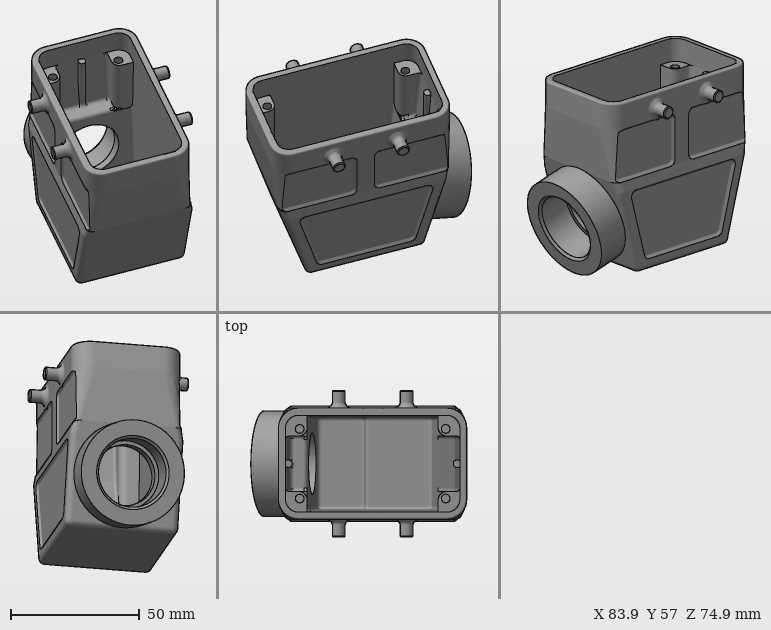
import cadquery as cq
import math

total_length = 83.85

total_height = 72.0
rim_length = 73.0
rim_width = 43.1
rim_corner_radius = 7.55
rim_edge_radius = 0.7
band_bottom = 61.2
waist_height = 39.6
waist_length = 69.3
waist_corner_radius = 2.5
side_angle = 15.0
side_tilt = math.radians(side_angle)
side_slope = math.tan(side_tilt)

base_width = 44.95
base_shoulder_height = 35.5
base_edge_radius = 2.5
base_length = waist_length - 2 * waist_height * side_slope

panel_depth = 0.9
panel_draft = 50.0
panel_corner_radius = 2.5
panel_floor_radius = 0.7
rib_width = 7.2
low_panel_top = 34.9
low_panel_bottom = 4.7
low_panel_top_length = 56.0
low_panel_bottom_length = low_panel_top_length - 2 * (low_panel_top - low_panel_bottom) * side_slope

pin_spacing = 26.3
pin_height = 65.6
pin_radius = 2.5
pin_tip_y = 28.5
pin_root_radius = 4.8
pin_ring_radius = 3.4
pin_ring_height = 0.75
pin_flare_height = 2.1
pin_flare_radius = 1.85
pin_tip_chamfer = 0.4
pin_embed = 0.8

collar_radius = 20.55
collar_drop = 2.85
collar_face_x = rim_length / 2 - total_length + collar_radius * math.sin(side_tilt)
collar_face_z = collar_radius * math.cos(side_tilt) - collar_drop
collar_length = 15.9
bore_radius = 13.4
bore_chamfer = 1.0
bore_depth = 13.9
throat_radius = 11.9
throat_depth = 25.15

cavity_length = 67.7
cavity_width = 37.6
cavity_floor_width = 35.55
cavity_corner_radius = 5.0
cavity_waist_length = 63.9
floor_thickness = 2.5
floor_step_x = -3.35
floor_step_height = 3.35
floor_radius = 1.5
foot_radius = 1.25
cavity_ledge_length = 63.6
high_floor_drop = waist_height - floor_thickness - floor_step_height
high_floor_end_x = cavity_waist_length / 2 - high_floor_drop * side_slope

post_top = 62.5
post_inner_x = 25.4
post_inner_y = 10.7
post_radius = 3.35
bay_radius = 1.3
screw_x = 28.3
screw_y = 13.5
screw_hole_radius = 1.7
screw_hole_depth = 12.6
pad_top = 38.6
pad_foot_x = 21.1
nub_radius = 1.5
nub_x = 32.8
nub_flare_radius = 1.5

pick_margin = 0.5


def rounded_prism(length, width, radius, bottom, top):
    """Vertical prism centred on the Z axis with rounded corners."""
    prism = cq.Workplane("XY").workplane(offset=bottom).rect(length, width).extrude(top - bottom)
    return prism.edges("|Z").fillet(radius)


def profile_prism(points, width):
    """Prism along Y, centred on Y = 0, from an XZ outline."""
    return cq.Workplane("XZ").polyline(points).close().extrude(width / 2, both=True)


def on_both_faces(front):
    return front.union(front.mirror("XZ"))


def rounded_sketch(length, width, radius):
    return cq.Sketch().rect(length, width).vertices().fillet(radius)


def make_upper_body():
    """Straight rim band above a taper whose corners sharpen toward the waist."""
    band = rounded_prism(rim_length, rim_width, rim_corner_radius, band_bottom, total_height)
    band = band.faces(">Z").edges().fillet(rim_edge_radius)
    taper = (
        cq.Workplane("XY")
        .placeSketch(
            rounded_sketch(waist_length, rim_width, waist_corner_radius).moved(
                cq.Location(cq.Vector(0, 0, waist_height))
            ),
            rounded_sketch(rim_length, rim_width, rim_corner_radius).moved(
                cq.Location(cq.Vector(0, 0, band_bottom))
            ),
        )
        .loft()
    )
    return band.union(taper)


def make_lower_body():
    """Tapered lower body, rounded along its bottom and its corner edges."""
    side = [
        (-base_length / 2, 0),
        (base_length / 2, 0),
        (waist_length / 2, waist_height),
        (-waist_length / 2, waist_height),
    ]
    end = [
        (-base_width / 2, 0),
        (base_width / 2, 0),
        (base_width / 2, base_shoulder_height),
        (rim_width / 2, waist_height),
        (-rim_width / 2, waist_height),
        (-base_width / 2, base_shoulder_height),
    ]
    end_prism = cq.Workplane("YZ").polyline(end).close().extrude(rim_length / 2, both=True)
    body = profile_prism(side, base_width).intersect(end_prism)
    return body.edges("not >Z").edges("<Z or (not |X)").fillet(base_edge_radius)


def make_panel(sketch, origin):
    """Drafted recess cut into the -Y face, rounded where its walls meet its floor."""
    panel = cq.Workplane("XZ", origin=origin).placeSketch(sketch).extrude(-panel_depth, taper=panel_draft)
    return panel.faces(">Y").edges().fillet(panel_floor_radius)


def make_upper_panels():
    """Two panels per face, running out through the rounded corners beside the central rib."""
    height = band_bottom - waist_height
    length = rim_length / 2
    center_x = (rib_width + length) / 2
    center_z = (band_bottom + waist_height) / 2
    sketch = rounded_sketch(length, height, panel_corner_radius)
    panels = cq.Workplane("XY")
    for x in (-center_x, center_x):
        panels = panels.union(make_panel(sketch, (x, -rim_width / 2, center_z)))
    return on_both_faces(panels)


def make_lower_panels():
    outline = [
        (-low_panel_bottom_length / 2, low_panel_bottom),
        (low_panel_bottom_length / 2, low_panel_bottom),
        (low_panel_top_length / 2, low_panel_top),
        (-low_panel_top_length / 2, low_panel_top),
    ]
    sketch = cq.Sketch().polygon(outline + outline[:1]).vertices().fillet(panel_corner_radius)
    return on_both_faces(make_panel(sketch, (0, -base_width / 2, 0)))


def make_pins():
    """Pins with a concave flare at the root, starting inside the wall."""
    root_y = rim_width / 2
    pin = (
        cq.Workplane("XY")
        .moveTo(0, root_y - pin_embed)
        .lineTo(pin_root_radius, root_y - pin_embed)
        .lineTo(pin_root_radius, root_y)
        .radiusArc((pin_ring_radius, root_y + pin_ring_height), pin_flare_radius)
        .radiusArc((pin_radius, root_y + pin_flare_height), pin_flare_radius)
        .lineTo(pin_radius, pin_tip_y - pin_tip_chamfer)
        .lineTo(pin_radius - pin_tip_chamfer, pin_tip_y)
        .lineTo(0, pin_tip_y)
        .close()
        .revolve(360, (0, 0, 0), (0, 1, 0))
    )
    pins = cq.Workplane("XY")
    for x in (-pin_spacing / 2, pin_spacing / 2):
        pins = pins.union(pin.translate((x, 0, pin_height)))
    return on_both_faces(pins)


def collar_plane():
    """Plane on the collar's outer face, its normal pointing into the hood."""
    return cq.Plane(
        origin=(collar_face_x, 0, collar_face_z),
        xDir=(0, 1, 0),
        normal=(math.cos(side_tilt), 0, math.sin(side_tilt)),
    )


def make_collar():
    return cq.Workplane(collar_plane()).circle(collar_radius).extrude(collar_length)


def make_bore():
    """Chamfered bore through the collar with a narrower throat through the pad."""
    outline = [
        (0, 0),
        (bore_radius + bore_chamfer, 0),
        (bore_radius, bore_chamfer),
        (bore_radius, bore_depth),
        (throat_radius, bore_depth),
        (throat_radius, throat_depth),
        (0, throat_depth),
    ]
    plane = collar_plane()
    section = cq.Plane(origin=plane.origin, xDir=plane.xDir, normal=plane.xDir.cross(plane.zDir))
    return cq.Workplane(section).polyline(outline).close().revolve(360, (0, 0, 0), (0, 1, 0))


def make_open_space():
    """Space inside the shell before the posts are added: stepped floor, pad on the collar side."""
    high_floor = floor_thickness + floor_step_height
    side = [
        (-pad_foot_x, floor_thickness),
        (floor_step_x, floor_thickness),
        (floor_step_x + floor_step_height * side_slope, high_floor),
        (high_floor_end_x, high_floor),
        (cavity_waist_length / 2, waist_height),
        (cavity_length / 2, post_top),
        (cavity_length / 2, total_height),
        (-cavity_length / 2, total_height),
        (-cavity_length / 2, post_top),
        (-cavity_ledge_length / 2, pad_top),
        (-post_inner_x, pad_top),
    ]
    end = [
        (-cavity_floor_width / 2, floor_thickness),
        (cavity_floor_width / 2, floor_thickness),
        (cavity_width / 2, total_height),
        (-cavity_width / 2, total_height),
    ]
    end_prism = cq.Workplane("YZ").polyline(end).close().extrude(cavity_length / 2, both=True)
    corners = rounded_prism(cavity_length, cavity_width, cavity_corner_radius, 0, total_height)
    up_to_ledge = cq.selectors.BoxSelector(
        (-cavity_length, -cavity_width, 0), (cavity_length, cavity_width, pad_top + pick_margin)
    )
    space = profile_prism(side, cavity_width).edges("|Y").edges(up_to_ledge).fillet(floor_radius)
    space = space.intersect(end_prism)
    for y_side in (-1, 1):
        foot_y = y_side * cavity_floor_width / 2
        foot = cq.selectors.BoxSelector(
            (-pad_foot_x - pick_margin, foot_y - pick_margin, 0),
            (high_floor_end_x, foot_y + pick_margin, high_floor + pick_margin),
        )
        space = space.edges(foot).fillet(foot_radius)
    return space.intersect(corners)


def make_bays():
    """Recesses between the posts at both ends, rounded into the end walls and the pad."""
    plain_side = [
        (0, floor_thickness + floor_step_height),
        (high_floor_end_x, floor_thickness + floor_step_height),
        (cavity_waist_length / 2, waist_height),
        (cavity_length / 2, post_top),
        (0, post_top),
    ]
    pad_side = [
        (0, pad_top),
        (-cavity_ledge_length / 2, pad_top),
        (-cavity_length / 2, post_top),
        (0, post_top),
    ]
    slanted = "not (|X or |Y or |Z)"
    plain_bay = profile_prism(plain_side, 2 * post_inner_y)
    plain_bay = plain_bay.edges(slanted).fillet(bay_radius)
    pad_bay = profile_prism(pad_side, 2 * post_inner_y)
    pad_bay = pad_bay.edges(f"(<Z or ({slanted})) and (not >X)").fillet(bay_radius)
    mouth = cq.Workplane("XY").box(
        post_inner_x + floor_radius, 2 * post_inner_y, floor_radius, centered=(False, True, False)
    )
    mouth = mouth.translate((-post_inner_x - floor_radius, 0, pad_top - floor_radius))
    return plain_bay.union(pad_bay).union(mouth)


def make_post_rounding(x_side, y_side, foot):
    """Sharp sliver removed from a post's inner edge to leave it rounded."""
    arc_mid = post_radius * (1 - math.sqrt(0.5))
    x, y = x_side * post_inner_x, y_side * post_inner_y
    return (
        cq.Workplane("XY", origin=(x, y, foot))
        .lineTo(x_side * post_radius, 0)
        .threePointArc((x_side * arc_mid, y_side * arc_mid), (0, y_side * post_radius))
        .close()
        .extrude(post_top - foot)
    )


def make_posts():
    """Corner posts reaching up to the connector seat, each with a blind screw hole."""
    length = cavity_length / 2 - post_inner_x
    posts = cq.Workplane("XY")
    for x_side in (-1, 1):
        block = cq.Workplane("XY").center(x_side * (post_inner_x + length / 2), 0)
        posts = posts.union(block.rect(length, cavity_width).extrude(post_top))
    posts = posts.cut(make_bays())
    for x_side, foot in ((-1, pad_top), (1, floor_thickness)):
        for y_side in (-1, 1):
            posts = posts.cut(make_post_rounding(x_side, y_side, foot))
    holes = (
        cq.Workplane("XY", origin=(0, 0, post_top - screw_hole_depth))
        .rect(2 * screw_x, 2 * screw_y, forConstruction=True)
        .vertices()
        .circle(screw_hole_radius)
        .extrude(screw_hole_depth)
    )
    return posts.cut(holes)


def make_nubs():
    """Round locating nubs in the middle of both end walls; the pad-side one flares into the pad."""
    nubs = cq.Workplane("XY").pushPoints([(-nub_x, 0), (nub_x, 0)]).circle(nub_radius).extrude(post_top)
    arc_offset = nub_flare_radius * (1 - math.sqrt(0.5))
    flare = (
        cq.Workplane("XZ")
        .moveTo(0, pad_top)
        .lineTo(nub_radius + nub_flare_radius, pad_top)
        .threePointArc(
            (nub_radius + arc_offset, pad_top + arc_offset), (nub_radius, pad_top + nub_flare_radius)
        )
        .lineTo(0, pad_top + nub_flare_radius)
        .close()
        .revolve(360, (0, 0, 0), (0, 1, 0))
    )
    return nubs.union(flare.translate((-nub_x, 0, 0)))


hood = make_upper_body().union(make_lower_body())
hood = hood.cut(make_upper_panels()).cut(make_lower_panels())
hood = hood.union(make_pins()).union(make_collar())

cavity = make_open_space().cut(make_posts()).cut(make_nubs())
result = hood.cut(cavity).cut(make_bore())